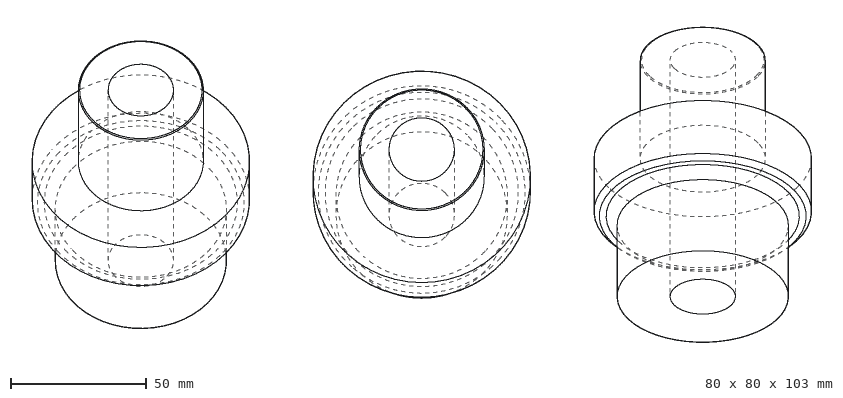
import cadquery as cq

total_height = 103.0
flange_diameter = 80.0
spigot_diameter = 46.0
base_diameter = 63.0
bore_diameter = 24.0

base_height = 31.0
cone_top = 35.0
flange_top = 60.0

flange_chamfer = 2.0
cone_top_diameter = 71.1
spigot_chamfer_width = 0.5
spigot_chamfer_height = 0.3

flange_radius = flange_diameter / 2
spigot_radius = spigot_diameter / 2
base_radius = base_diameter / 2
bore_radius = bore_diameter / 2

profile = [
    (bore_radius, 0),
    (base_radius, 0),
    (base_radius, base_height),
    (cone_top_diameter / 2, cone_top),
    (flange_radius - flange_chamfer, cone_top),
    (flange_radius, cone_top + flange_chamfer),
    (flange_radius, flange_top),
    (spigot_radius, flange_top),
    (spigot_radius, total_height - spigot_chamfer_height),
    (spigot_radius - spigot_chamfer_width, total_height),
    (bore_radius, total_height),
]

result = cq.Workplane("XZ").polyline(profile).close().revolve(360, (0, 0), (0, 1))